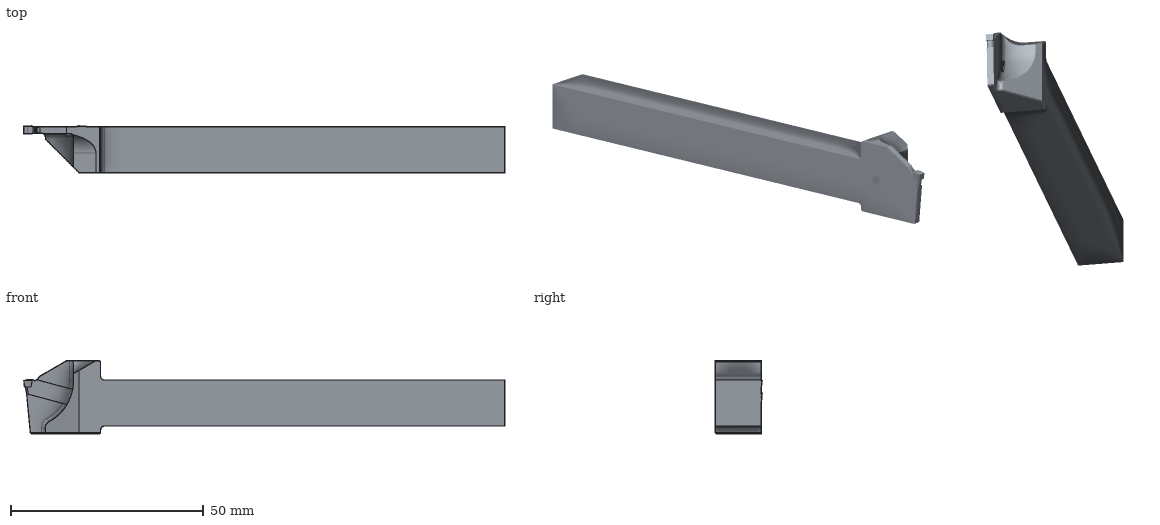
import cadquery as cq
import math


total_length = 125.0
shank_size = 12.0
shank_bottom_z = 2.0
shank_top_z = shank_bottom_z + shank_size
head_height = 19.0
head_end_x = 20.0
neck_radius = 1.0
head_chamfer = 0.3
back_y = shank_size

insert_head_width = 2.2
insert_overhang = 0.23
insert_mid_y = back_y + insert_overhang - insert_head_width / 2
insert_body_width = 2 * (back_y - insert_mid_y)
insert_body_height = 4.2
insert_tilt = 15.0
insert_centre = (8.35, 12.72)
tip_z = 13.8
edge_height = 1.6
edge_bottom_z = tip_z - edge_height
edge_lean = 0.15
body_front_x = 0.4
rake_rise = 0.3
rake_top_z = tip_z + rake_rise
rake_start_x = 1.0
rake_end_x = 2.4
head_back_x = 2.2
head_back_lean = 0.3
seat_start_x = 2.8
groove_depth = 0.4
groove_width = 1.2
front_chamfer = 0.45

blade_front_y = back_y - insert_body_width
blade_foot_x = 1.7
blade_nose_x = 0.72
seat_setback_x = 2.0
jaw_nose = (3.4, 14.0)
jaw_shoulder = (4.2, 15.0)
jaw_slope = 30.0

clearance_start_x = 14.4
pocket_radius = 12.3
pocket_centre = (0.65, 13.9)
pocket_foot_x = 5.6
pocket_foot_radius = 1.8
pocket_fillet = 1.0

ramp_slope = 30.0
ramp_start_z = 15.65
ramp_flat_y = 5.2
ramp_radius = 5.2

passage_front_y = 9.5

margin = 5.0


def prism(points, y_start, y_end):
    """Extrude a closed XZ polygon from y_start to y_end."""
    return (
        cq.Workplane("XZ", origin=(0, y_start, 0))
        .polyline(points)
        .close()
        .extrude(y_start - y_end)
    )



def level(x, z):
    """Turn a point given in X and Z into the untilted frame of the insert."""
    tilt = math.radians(insert_tilt)
    dx = x - insert_centre[0]
    dz = z - insert_centre[1]
    return (
        dx * math.cos(tilt) - dz * math.sin(tilt),
        dx * math.sin(tilt) + dz * math.cos(tilt),
    )


def lower_seat_point(x):
    """Point of the insert's lower seat at a given X."""
    tilt = math.radians(insert_tilt)
    drop = (x - insert_centre[0]) * math.tan(tilt) + insert_body_height / math.cos(tilt)
    return x, insert_centre[1] - drop


def place_insert(shape):
    """Tilt a level shape and move it to its place in the holder."""
    return shape.rotate((0, 0, 0), (0, 1, 0), insert_tilt).translate(
        (insert_centre[0], insert_mid_y, insert_centre[1])
    )


def insert_half_body():
    seat_start = level(seat_start_x, tip_z)
    outline = [
        (0, -insert_body_height),
        level(*lower_seat_point(blade_nose_x)),
        level(body_front_x, edge_bottom_z),
        level(edge_lean, edge_bottom_z),
        level(0, tip_z),
        level(rake_start_x, rake_top_z),
        level(rake_end_x, rake_top_z),
        seat_start,
        (seat_start[0] - seat_start[1], 0),
        (0, 0),
    ]
    body = prism(outline, -insert_body_width / 2, insert_body_width / 2)
    front_x, front_z = level(
        (body_front_x + blade_nose_x) / 2,
        (edge_bottom_z + lower_seat_point(blade_nose_x)[1]) / 2,
    )
    for y in (-insert_body_width / 2, insert_body_width / 2):
        front_edge = cq.selectors.NearestToPointSelector((front_x, y, front_z))
        body = body.edges(front_edge).chamfer(front_chamfer)
    return body


def insert_head():
    outline = [
        level(0, tip_z),
        level(head_back_x, tip_z),
        level(head_back_x - head_back_lean, edge_bottom_z),
        level(edge_lean, edge_bottom_z),
    ]
    head = prism(outline, -insert_head_width / 2, insert_head_width / 2)
    top = max(z for _, z in outline)
    bottom = min(z for _, z in outline)
    taper = (
        cq.Workplane("YZ")
        .polyline(
            [
                (-insert_head_width / 2, top),
                (insert_head_width / 2, top),
                (insert_body_width / 2, bottom),
                (-insert_body_width / 2, bottom),
            ]
        )
        .close()
        .extrude(-total_length)
    )
    return head.intersect(taper)


def seat_groove(seat_z, root_z):
    """V groove along one seat, from the middle of the insert to past its end."""
    return (
        cq.Workplane("YZ")
        .polyline([(-groove_width / 2, seat_z), (groove_width / 2, seat_z), (0, root_z)])
        .close()
        .extrude(level(seat_start_x, tip_z)[0])
    )


def make_insert():
    half = insert_half_body()
    half = half.cut(seat_groove(0, -groove_depth))
    half = half.cut(seat_groove(-insert_body_height, groove_depth - insert_body_height))
    half = half.union(insert_head())
    return place_insert(half.union(half.mirror("YZ")))



def holder_blank():
    """Shank, head and blade outline at full width."""
    jaw_top_x = jaw_shoulder[0] + (head_height - jaw_shoulder[1]) / math.tan(math.radians(jaw_slope))
    outline = [
        (blade_foot_x, 0),
        (head_end_x, 0),
        (head_end_x, shank_bottom_z),
        (total_length, shank_bottom_z),
        (total_length, shank_top_z),
        (head_end_x, shank_top_z),
        (head_end_x, head_height),
        (jaw_top_x, head_height),
        jaw_shoulder,
        jaw_nose,
        lower_seat_point(seat_setback_x),
        lower_seat_point(blade_nose_x),
    ]
    blank = prism(outline, 0, back_y)
    for z in (shank_bottom_z, shank_top_z):
        neck = cq.selectors.NearestToPointSelector((head_end_x, back_y / 2, z))
        blank = blank.edges(neck).fillet(neck_radius)
    top_corner = cq.selectors.NearestToPointSelector((head_end_x, back_y / 2, head_height))
    return blank.edges(top_corner).chamfer(head_chamfer)


def clearance_cut():
    """Corner in front of the 45 degree clearance face."""
    corner = [
        (clearance_start_x + margin, -margin),
        (clearance_start_x - back_y, back_y),
        (-margin, back_y),
        (-margin, -margin),
    ]
    wedge = cq.Workplane("XY", origin=(0, 0, -margin)).polyline(corner).close()
    wedge = wedge.extrude(head_height + 2 * margin)
    blade_side = cq.Workplane("XY").box(
        total_length, blade_front_y + margin, total_length, centered=(True, False, True)
    )
    return wedge.intersect(blade_side.translate((0, -margin, 0)))


def pocket():
    """Region in front of the blade, bounded by the curved pocket wall."""
    centre_x, centre_z = pocket_centre
    foot_x = pocket_foot_x + pocket_foot_radius
    reach = pocket_radius + pocket_foot_radius
    foot_z = centre_z - math.sqrt(reach**2 - (foot_x - centre_x) ** 2)
    join_angle = math.atan2(foot_z - centre_z, foot_x - centre_x)

    def on_wall(angle):
        return centre_x + pocket_radius * math.cos(angle), centre_z + pocket_radius * math.sin(angle)

    foot_middle = join_angle / 2 + math.pi
    return (
        cq.Workplane("XZ", origin=(0, blade_front_y, 0))
        .moveTo(-margin, head_height + margin)
        .lineTo(centre_x + pocket_radius, head_height + margin)
        .lineTo(*on_wall(0))
        .threePointArc(on_wall(join_angle / 2), on_wall(join_angle))
        .threePointArc(
            (
                foot_x + pocket_foot_radius * math.cos(foot_middle),
                foot_z + pocket_foot_radius * math.sin(foot_middle),
            ),
            (pocket_foot_x, foot_z),
        )
        .lineTo(pocket_foot_x, -margin)
        .lineTo(-margin, -margin)
        .close()
        .extrude(blade_front_y + margin)
    )


def chip_ramp():
    """Sloping trough with a flat floor that curves up towards the back."""
    slope = math.radians(ramp_slope)
    start = (pocket_centre[0] + pocket_radius, 0, ramp_start_z)
    across = cq.Plane(origin=start, xDir=(0, 1, 0), normal=(math.cos(slope), 0, math.sin(slope)))
    diagonal = math.sqrt(0.5)
    return (
        cq.Workplane(across)
        .moveTo(-margin, 0)
        .lineTo(ramp_flat_y, 0)
        .threePointArc(
            (ramp_flat_y + ramp_radius * diagonal, ramp_radius * (1 - diagonal)),
            (ramp_flat_y + ramp_radius, ramp_radius),
        )
        .lineTo(ramp_flat_y + ramp_radius, head_height)
        .lineTo(-margin, head_height)
        .close()
        .extrude(head_end_x, both=True)
    )


def insert_window():
    """Band ahead of the insert where the pocket runs square into its wall."""
    band = cq.Workplane("XY").box(
        total_length, blade_front_y + margin, insert_body_height, centered=(True, False, False)
    )
    band = band.translate((0, -margin - insert_mid_y, -insert_body_height))
    return place_insert(band).intersect(pocket())


def head_passage():
    """Slot behind the pocket wall that lets the wide rear head slide in."""
    slot = cq.Workplane("XY").box(
        -level(0, tip_z)[0], blade_front_y - passage_front_y, insert_body_height, centered=False
    )
    return place_insert(slot.translate((0, passage_front_y - insert_mid_y, -insert_body_height)))


def make_holder(insert):
    filleted_pocket = pocket().faces(">Y").edges().fillet(pocket_fillet)
    holder = holder_blank().cut(clearance_cut()).cut(filleted_pocket).cut(chip_ramp())
    holder = holder.cut(insert_window()).cut(head_passage()).cut(insert)
    return holder.faces("<Z").edges("not >Y").chamfer(head_chamfer)


insert = make_insert()
holder = make_holder(insert)
result = cq.Compound.makeCompound([*holder.vals(), *insert.vals()])